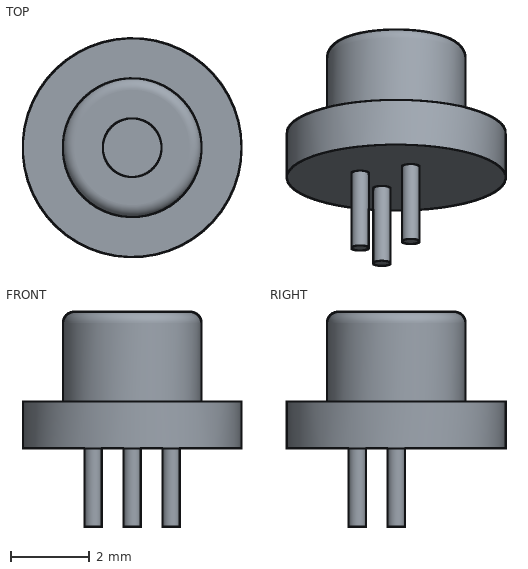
import cadquery as cq

flange_diameter = 5.6
flange_height = 1.2

cap_diameter = 3.55
cap_height = 2.295
cap_edge_radius = 0.3
window_diameter = 1.5
window_depth = 0.175

pin_diameter = 0.45
pin_length = 2.005
pin_circle_radius = 0.995
pin_positions = [
    (-pin_circle_radius, 0),
    (0, -pin_circle_radius),
    (pin_circle_radius, 0),
]


def make_flange():
    return cq.Workplane("XY").circle(flange_diameter / 2).extrude(flange_height)


def make_cap():
    cap = (
        cq.Workplane("XY")
        .workplane(offset=flange_height)
        .circle(cap_diameter / 2)
        .extrude(cap_height)
        .faces(">Z")
        .edges()
        .fillet(cap_edge_radius)
    )
    return cap.faces(">Z").workplane().circle(window_diameter / 2).cutBlind(-window_depth)


def make_pins():
    return cq.Workplane("XY").pushPoints(pin_positions).circle(pin_diameter / 2).extrude(-pin_length)


result = make_flange().union(make_cap()).union(make_pins())